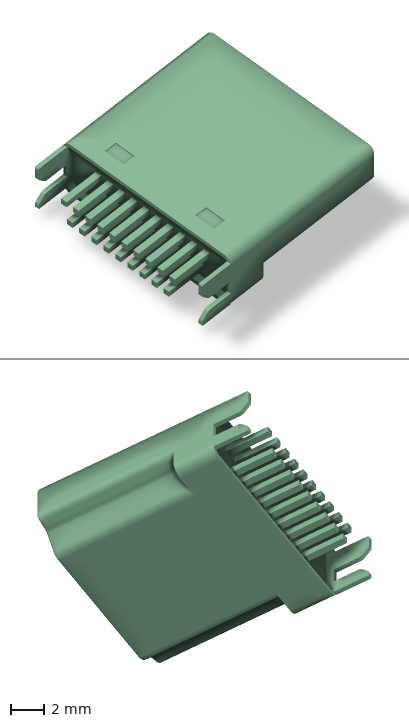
import cadquery as cq
import math


width = 13.9
length = 15.0
height = 4.45
half_width = width / 2

tab_length = 2.49
rear_length = 2.82
wall = 0.3
top_radius = 0.6
bottom_radius = 0.74
tip_rounding = 0.14
recess_depth = 0.51
rear_edge = tab_length
step_y = rear_edge + rear_length
recess_floor = rear_edge + recess_depth

side_bottom = 2.01
shoulder_radius = 0.51
shelf_angle = math.radians(73)
shelf_length = 0.6
valley_radius = 0.36
flank_angle = math.radians(38)
keel_radius = 0.63

upper_tab_top = 4.05
slot_top = 2.48
slot_bottom = 1.4
lower_tab_bottom = 0.44
tab_chamfer = 0.6
chamfer_blend = 0.38
tab_rounding = 0.12

pin_size = 0.45
upper_pin_count = 10
lower_pin_count = upper_pin_count - 1
upper_row_span = 9.0
pin_pitch = upper_row_span / (upper_pin_count - 1)
upper_row_height = 2.67
lower_row_height = 1.2
pin_offset = -0.03

window_width = 1.55
window_length = 0.93
window_depth = 0.08
window_spacing = 7.5
window_setback = 1.08


def extrude_along_y(profile, start, end):
    """Extrude a profile drawn on the XZ plane from y = start to y = end."""
    return profile.extrude(start - end).translate((0, start, 0))


def rounded_block(inset, start, end):
    """Full-width shell section with its outline moved inwards by inset."""
    outline = cq.Workplane("XZ").center(0, height / 2).rect(width - 2 * inset, height - 2 * inset)
    block = extrude_along_y(outline, start, end)
    block = block.edges("|Y and >Z").fillet(top_radius - inset)
    return block.edges("|Y and <Z").fillet(bottom_radius - inset)


def front_section():
    """Front section whose sides step inwards over a sloped shelf and a steeper flank."""
    shoulder_tangent = shoulder_radius * math.tan(shelf_angle / 2)
    valley_tangent = valley_radius * math.tan((shelf_angle - flank_angle) / 2)
    shelf_reach = shoulder_tangent + shelf_length + valley_tangent

    shoulder_z = side_bottom - shoulder_tangent
    valley_x = half_width - shelf_reach * math.sin(shelf_angle)
    valley_z = shoulder_z - shelf_reach * math.cos(shelf_angle)
    keel_x = valley_x - valley_z * math.tan(flank_angle)
    corners = [
        (half_width, height, top_radius),
        (half_width, shoulder_z, shoulder_radius),
        (valley_x, valley_z, valley_radius),
        (keel_x, 0, keel_radius),
    ]

    right_side = [(x, z) for x, z, _ in corners]
    left_side = [(-x, z) for x, z in reversed(right_side)]
    outline = cq.Workplane("XZ").polyline(right_side + left_side).close()
    body = extrude_along_y(outline, step_y, length)

    middle_y = (step_y + length) / 2
    for x, z, radius in corners:
        for side in (-1, 1):
            edge = cq.selectors.NearestToPointSelector((side * x, middle_y, z))
            body = body.edges(edge).fillet(radius)
    return body.faces(">Y").edges().fillet(tip_rounding)


def tab(slot_z, outer_z):
    """Solder tab from slot_z to outer_z, chamfered on its slot side at the free end."""
    outward = math.copysign(1, outer_z - slot_z)
    chamfer_z = slot_z + outward * tab_chamfer
    outline = [
        (rear_edge, slot_z),
        (tab_chamfer, slot_z),
        (0, chamfer_z),
        (0, outer_z),
        (rear_edge, outer_z),
    ]
    plate = cq.Workplane("YZ").polyline(outline).close().extrude(wall)
    roundings = [
        (tab_chamfer, slot_z, chamfer_blend),
        (0, chamfer_z, chamfer_blend),
        (0, outer_z, tab_rounding),
    ]
    for y, z, radius in roundings:
        edge = cq.selectors.NearestToPointSelector((wall / 2, y, z))
        plate = plate.edges(edge).fillet(radius)
    return plate


def pin_row(count, row_height):
    """Row of square pins running from y = 0 to the insulator face."""
    row = cq.Workplane("XZ").center(pin_offset, row_height)
    row = row.rarray(pin_pitch, 0.15, count, 1).rect(pin_size, pin_size)
    return extrude_along_y(row, 0, recess_floor)


def latch_windows():
    """Shallow rectangular pockets near the rear edge of the top face."""
    top = cq.Workplane("XY", origin=(0, rear_edge + window_setback + window_length / 2, height))
    windows = top.rarray(window_spacing, 0.15, 2, 1).rect(window_width, window_length)
    return windows.extrude(-window_depth)


shell = front_section().union(rounded_block(0, rear_edge, step_y))
shell = shell.cut(rounded_block(wall, rear_edge, recess_floor))
shell = shell.cut(latch_windows())

tabs = tab(slot_top, upper_tab_top).union(tab(slot_bottom, lower_tab_bottom))
for tab_x in (-half_width, half_width - wall):
    shell = shell.union(tabs.translate((tab_x, 0, 0)))

upper_pins = pin_row(upper_pin_count, upper_row_height)
lower_pins = pin_row(lower_pin_count, lower_row_height)
result = shell.union(upper_pins).union(lower_pins)